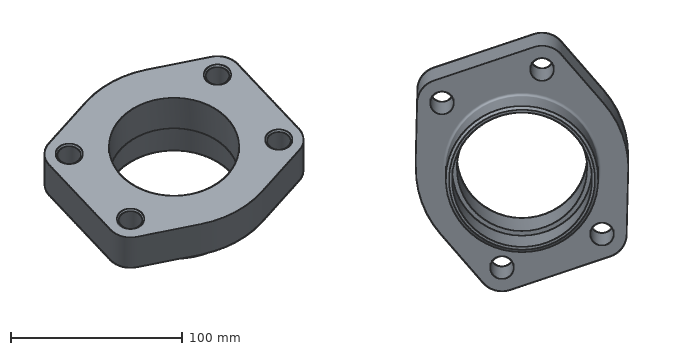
import cadquery as cq
import math

flange_length = 135.0
flange_width = 124.0
flange_thickness = 27.0
corner_radius = 14.5

bolt_x = 30.9
bolt_y = flange_length / 2 - corner_radius
bolt_diameter = 13.8
bolt_rim_diameter = 15.9
countersink_angle = 90

total_height = 50.0
neck_diameter = 89.0
neck_height = total_height - flange_thickness
neck_root_fillet = 1.6
neck_chamfer_height = 1.4
neck_chamfer_width = 1.9

bore_diameter = 76.0
socket_diameter = 81.7
socket_depth = neck_height


def make_flange():
    """Plate outlined by side arcs about the origin, corner arcs and their common tangents."""
    side_radius = flange_width / 2
    center_angle = math.atan2(bolt_y, bolt_x)
    center_distance = math.hypot(bolt_x, bolt_y)
    normal_angle = center_angle - math.acos((side_radius - corner_radius) / center_distance)
    mid_angle = (normal_angle + math.pi / 2) / 2

    def on_corner(angle):
        return (bolt_x + corner_radius * math.cos(angle), bolt_y + corner_radius * math.sin(angle))

    def mirror_x(point):
        return (-point[0], point[1])

    def mirror_y(point):
        return (point[0], -point[1])

    def turn(point):
        return (-point[0], -point[1])

    side_end = (side_radius * math.cos(normal_angle), side_radius * math.sin(normal_angle))
    corner_start = on_corner(normal_angle)
    corner_mid = on_corner(mid_angle)
    corner_end = on_corner(math.pi / 2)
    return (
        cq.Workplane("XY")
        .moveTo(*mirror_y(side_end))
        .threePointArc((side_radius, 0), side_end)
        .lineTo(*corner_start)
        .threePointArc(corner_mid, corner_end)
        .lineTo(*mirror_x(corner_end))
        .threePointArc(mirror_x(corner_mid), mirror_x(corner_start))
        .lineTo(*mirror_x(side_end))
        .threePointArc((-side_radius, 0), turn(side_end))
        .lineTo(*turn(corner_start))
        .threePointArc(turn(corner_mid), turn(corner_end))
        .lineTo(*mirror_y(corner_end))
        .threePointArc(mirror_y(corner_mid), mirror_y(corner_start))
        .close()
        .extrude(flange_thickness)
    )


def make_neck():
    """Round neck with a chamfered end and a fillet where it meets the flange."""
    radius = neck_diameter / 2
    fillet_offset = neck_root_fillet * (1 - math.sqrt(0.5))
    return (
        cq.Workplane("XZ")
        .lineTo(radius + neck_root_fillet, 0)
        .threePointArc((radius + fillet_offset, -fillet_offset), (radius, -neck_root_fillet))
        .lineTo(radius, neck_chamfer_height - neck_height)
        .lineTo(radius - neck_chamfer_width, -neck_height)
        .lineTo(0, -neck_height)
        .close()
        .revolve(360, (0, 0, 0), (0, 1, 0))
    )


def cut_bore(body):
    """Through bore, widened into a socket from the neck end."""
    bore = cq.Workplane("XY", origin=(0, 0, -neck_height)).circle(bore_diameter / 2).extrude(total_height)
    socket = cq.Workplane("XY", origin=(0, 0, -neck_height)).circle(socket_diameter / 2).extrude(socket_depth)
    return body.cut(bore).cut(socket)


def cut_bolt_holes(body):
    """Four through holes countersunk at the top face."""
    return (
        body.faces(">Z")
        .workplane(origin=(0, 0, 0))
        .rect(2 * bolt_x, 2 * bolt_y, forConstruction=True)
        .vertices()
        .cskHole(bolt_diameter, bolt_rim_diameter, countersink_angle)
    )


result = cut_bolt_holes(cut_bore(make_flange().union(make_neck())))